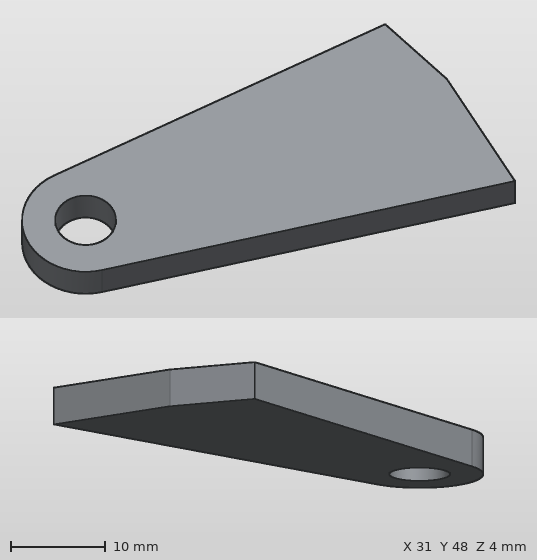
import cadquery as cq
import math

length = 47.95
width = 31.0
thickness = 4.0
pivot_radius = 6.7
hole_diameter = 6.4

left_corner = (-0.2, 40.6)
peak = (9.45, length - pivot_radius)
right_corner = (width - pivot_radius, 38.55)


def tangent_point(corner, side):
    """Point where a line from corner touches the pivot circle; side is +1 left, -1 right."""
    distance = math.hypot(*corner)
    angle = math.atan2(corner[1], corner[0]) + side * math.acos(pivot_radius / distance)
    return (pivot_radius * math.cos(angle), pivot_radius * math.sin(angle))


result = (
    cq.Workplane("XY")
    .moveTo(*tangent_point(left_corner, 1))
    .lineTo(*left_corner)
    .lineTo(*peak)
    .lineTo(*right_corner)
    .lineTo(*tangent_point(right_corner, -1))
    .threePointArc((0, -pivot_radius), tangent_point(left_corner, 1))
    .close()
    .extrude(thickness)
    .faces(">Z")
    .workplane(origin=(0, 0, thickness))
    .hole(hole_diameter)
)